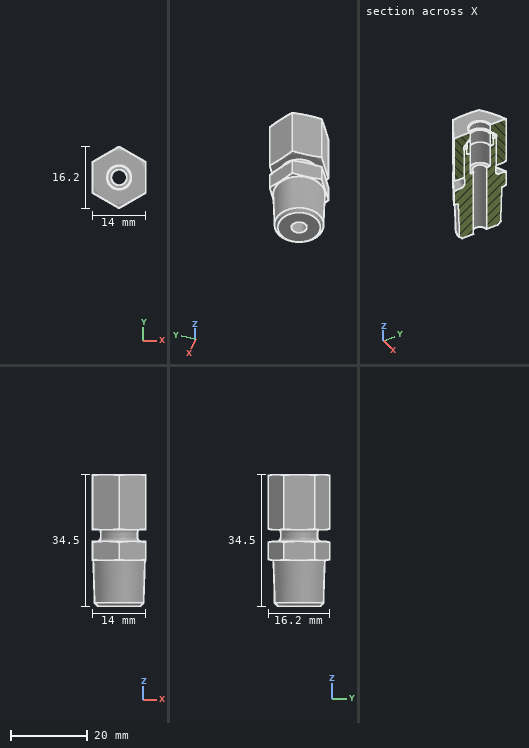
import cadquery as cq
import math

total_height = 34.5
thread_length = 12.0
body_hex_height = 5.0
nut_height = 14.5
hex_flats = 14.0
hex_bevel_angle = math.radians(13)
hex_bevel_diameter = 13.95
bevel_overshoot = 0.35

thread_large_diameter = 13.6
thread_taper = 1 / 16
thread_chamfer = 0.9

neck_diameter = 9.7
neck_fillet = 1.0
spigot_diameter = 10.0
neck_cone_start = 19.4
neck_cone_end = 19.87
spigot_top = 29.5

through_bore = 4.0
tube_bore = 6.0
tube_stop = 20.7
ring_diameter = 8.0
ring_bottom = 27.53

mouth_chamfer = 0.2
mouth_depth = 2.3
ring_end_drop = 0.65

body_hex_top = thread_length + body_hex_height
nut_bottom = total_height - nut_height
nut_cone_top = total_height - mouth_depth
ring_top = nut_cone_top - ring_end_drop


def revolve_profile(points):
    """Solid of revolution about Z from (radius, z) corner points."""
    return cq.Workplane("XZ").polyline(points).close().revolve(360, (0, 0), (0, 1))


def cylinder(diameter, bottom, top):
    return cq.Workplane("XY").workplane(offset=bottom).circle(diameter / 2).extrude(top - bottom)


def beveled_hex(bottom, top):
    """Hexagonal prism, flats facing +-X, with its corners turned down at both ends."""
    across_corners = hex_flats / math.cos(math.pi / 6)
    prism = (
        cq.Workplane("XY")
        .workplane(offset=bottom)
        .transformed(rotate=(0, 0, 90))
        .polygon(6, across_corners)
        .extrude(top - bottom)
    )
    end_radius = hex_bevel_diameter / 2
    outer_radius = across_corners / 2 + bevel_overshoot
    drop = (outer_radius - end_radius) * math.tan(hex_bevel_angle)
    envelope = revolve_profile([
        (0, bottom),
        (end_radius, bottom),
        (outer_radius, bottom + drop),
        (outer_radius, top - drop),
        (end_radius, top),
        (0, top),
    ])
    return prism.intersect(envelope)


def make_body():
    large_radius = thread_large_diameter / 2
    small_radius = large_radius - (thread_length - thread_chamfer) * thread_taper / 2
    thread = revolve_profile([
        (0, 0),
        (small_radius - thread_chamfer, 0),
        (small_radius, thread_chamfer),
        (large_radius, thread_length),
        (0, thread_length),
    ])

    neck_radius = neck_diameter / 2
    fillet_center_radius = neck_radius + neck_fillet
    fillet_center_z = body_hex_top + neck_fillet
    arc_reach = neck_fillet * math.sqrt(0.5)
    neck = (
        cq.Workplane("XZ")
        .moveTo(0, body_hex_top)
        .lineTo(fillet_center_radius, body_hex_top)
        .threePointArc(
            (fillet_center_radius - arc_reach, fillet_center_z - arc_reach),
            (neck_radius, fillet_center_z),
        )
        .lineTo(neck_radius, neck_cone_start)
        .lineTo(spigot_diameter / 2, neck_cone_end)
        .lineTo(spigot_diameter / 2, spigot_top)
        .lineTo(0, spigot_top)
        .close()
        .revolve(360, (0, 0), (0, 1))
    )

    return (
        beveled_hex(thread_length, body_hex_top)
        .union(thread)
        .union(neck)
        .cut(cylinder(through_bore, 0, tube_stop))
        .cut(cylinder(tube_bore, tube_stop, ring_bottom))
        .cut(cylinder(ring_diameter, ring_bottom, spigot_top))
    )


def make_nut():
    tube_radius = tube_bore / 2
    spigot_radius = spigot_diameter / 2
    opening = revolve_profile([
        (0, nut_bottom),
        (spigot_radius, nut_bottom),
        (spigot_radius, nut_cone_top - (spigot_radius - tube_radius)),
        (tube_radius, nut_cone_top),
        (tube_radius, total_height - mouth_chamfer),
        (tube_radius + mouth_chamfer, total_height),
        (0, total_height),
    ])
    return beveled_hex(nut_bottom, total_height).cut(opening)


def make_clamping_ring():
    """Ring around the tube: its upper edge rests on the nut cone, its foot in the body."""
    inner_radius = tube_bore / 2
    outer_radius = ring_diameter / 2
    top_radius = inner_radius + ring_end_drop
    return revolve_profile([
        (inner_radius, ring_bottom),
        (outer_radius, ring_bottom),
        (outer_radius, ring_top - (outer_radius - top_radius)),
        (top_radius, ring_top),
        (inner_radius, ring_top),
    ])


body = make_body()
nut = make_nut()
clamping_ring = make_clamping_ring()

result = cq.Compound.makeCompound([body.val(), nut.val(), clamping_ring.val()])